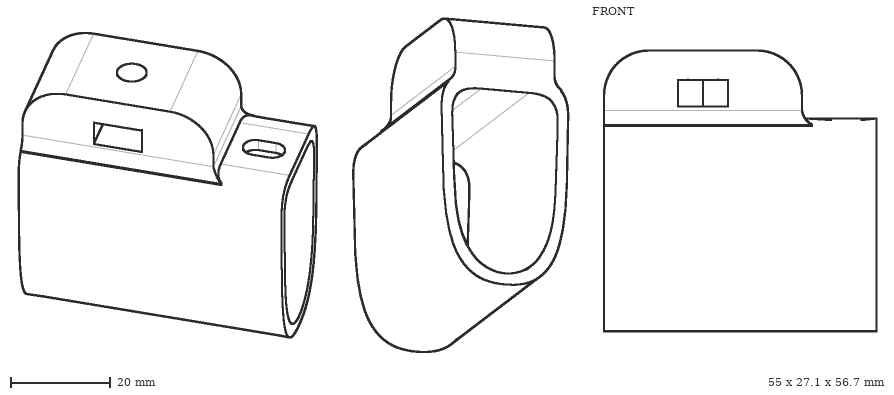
import cadquery as cq
import math

tube_length = 55.0
tube_top = 42.95
bore_bottom = 2.3
bore_top = 40.45
flat_half_width = 7.2
bore_flat_half_width = 5.1
outer_side = [
    (9.9, 42.6),
    (11.9, 41.55),
    (13.1, 39.4),
    (13.45, 33.45),
    (13.2, 22.0),
    (12.0, 10.95),
    (9.6, 4.65),
    (6.35, 1.5),
]
bore_side = [
    (7.95, 40.2),
    (9.65, 39.4),
    (10.75, 37.8),
    (11.2, 33.45),
    (10.8, 22.0),
    (9.45, 10.95),
    (8.2, 7.8),
    (5.9, 4.65),
]

block_length = 39.95
block_half_width = 10.6
block_top = 56.7
block_corner_radius = 9.05
block_base = bore_top

flare_top = 44.6
flare_bottom = 41.65
flare_side = 1.4
flare_end = 2.05
flare_sag = 0.4

bolt_x = block_length / 2
bolt_diameter = 6.0
nut_width = 10.1
nut_corner_diameter = nut_width / math.cos(math.pi / 6)
nut_floor = 45.35
nut_height = 5.4

slot_x = 47.6
slot_length = 8.6
slot_width = 5.05
slot_clearance = 1.15


def make_tube_form(side, flat, top, bottom):
    """Full-length solid with mirrored curved sides and a straight flat top."""
    mirrored_side = [(-y, z) for y, z in reversed(side)]
    curve = side + [(0, bottom)] + mirrored_side + [(-flat, top)]
    return (
        cq.Workplane("YZ")
        .moveTo(-flat, top)
        .lineTo(flat, top)
        .spline(curve, includeCurrent=True)
        .close()
        .extrude(tube_length)
    )


def flare_middle(edge, spread):
    """Point halfway along a flare, bowed in towards the block."""
    across = edge + math.copysign(abs(spread) / 2 - flare_sag, spread)
    return across, (flare_top + flare_bottom) / 2 - flare_sag / 2


def make_block():
    """Rounded block whose flare is mitred at the +X corners."""
    foot = block_half_width + flare_side
    middle_y, middle_z = flare_middle(block_half_width, flare_side)
    across = (
        cq.Workplane("YZ")
        .moveTo(-foot, block_base)
        .lineTo(foot, block_base)
        .lineTo(foot, flare_bottom)
        .threePointArc((middle_y, middle_z), (block_half_width, flare_top))
        .lineTo(block_half_width, block_top)
        .lineTo(-block_half_width, block_top)
        .lineTo(-block_half_width, flare_top)
        .threePointArc((-middle_y, middle_z), (-foot, flare_bottom))
        .close()
        .extrude(tube_length)
    )
    end_foot = block_length + flare_end
    shoulder = block_top - block_corner_radius
    along = (
        cq.Workplane("XZ")
        .moveTo(0, block_base)
        .lineTo(end_foot, block_base)
        .lineTo(end_foot, flare_bottom)
        .threePointArc(flare_middle(block_length, flare_end), (block_length, flare_top))
        .lineTo(block_length, shoulder)
        .radiusArc((block_length - block_corner_radius, block_top), -block_corner_radius)
        .lineTo(block_corner_radius, block_top)
        .radiusArc((0, shoulder), -block_corner_radius)
        .close()
        .extrude(foot, both=True)
    )
    return across.intersect(along)


def make_nut_pocket():
    """Hexagonal nut seat with a slide-in channel open on the -Y face."""
    seat = (
        cq.Workplane("XY", origin=(bolt_x, 0, nut_floor))
        .polygon(6, nut_corner_diameter)
        .extrude(nut_height)
        .rotate((bolt_x, 0, 0), (bolt_x, 0, 1), 90)
    )
    channel = cq.Workplane("XY", origin=(bolt_x, 0, nut_floor)).box(
        nut_width, block_half_width, nut_height, centered=(True, False, False)
    )
    return seat.union(channel.translate((0, -block_half_width, 0)))


def make_bolt_hole():
    """Vertical hole from the block top down to the nut pocket floor."""
    return (
        cq.Workplane("XY", origin=(bolt_x, 0, nut_floor))
        .circle(bolt_diameter / 2)
        .extrude(block_top - nut_floor)
    )


def make_slot():
    """Vertical slot that pierces only the top wall of the tube."""
    return (
        cq.Workplane("XY", origin=(slot_x, 0, bore_top - slot_clearance))
        .slot2D(slot_length, slot_width)
        .extrude(tube_top - bore_top + 2 * slot_clearance)
    )


outer = make_tube_form(outer_side, flat_half_width, tube_top, 0)
bore = make_tube_form(bore_side, bore_flat_half_width, bore_top, bore_bottom)

result = (
    outer.union(make_block())
    .cut(bore)
    .cut(make_nut_pocket())
    .cut(make_bolt_hole())
    .cut(make_slot())
)